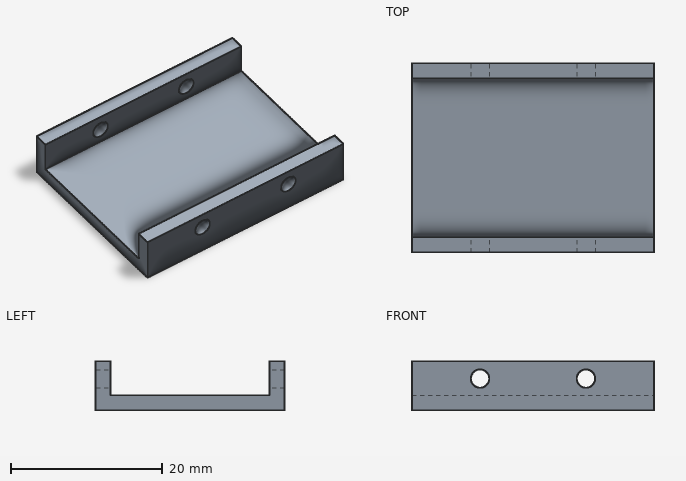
import cadquery as cq

length = 32.0
width = 25.0
height = 6.5
thickness = 2.0

hole_diameter = 2.4
hole_spacing = 14.0
hole_height = 4.2


def make_channel():
    """U-shaped channel running along X, open at the top and both ends."""
    block = cq.Workplane("XY").box(length, width, height, centered=(True, True, False))
    trough = (
        cq.Workplane("XY")
        .workplane(offset=thickness)
        .rect(length, width - 2 * thickness)
        .extrude(height - thickness)
    )
    return block.cut(trough)


def make_cross_holes():
    """Pair of cylinders along Y that pierce both side walls."""
    return (
        cq.Workplane("XZ")
        .pushPoints([(side * hole_spacing / 2, hole_height) for side in (-1, 1)])
        .circle(hole_diameter / 2)
        .extrude(width / 2, both=True)
    )


result = make_channel().cut(make_cross_holes())